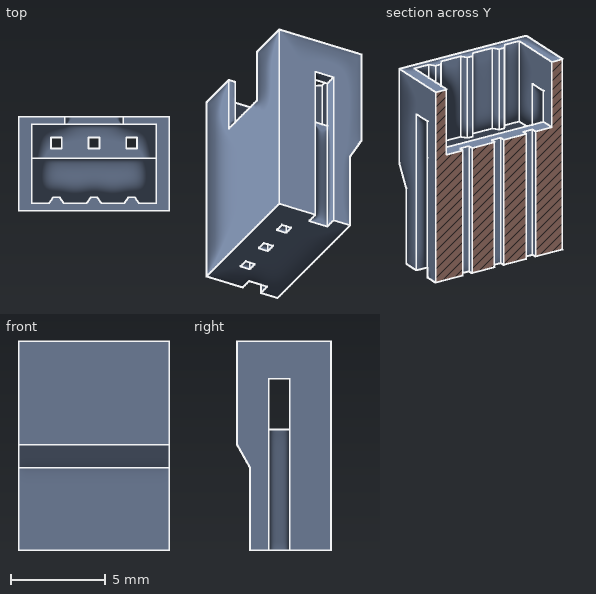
import cadquery as cq

width = 8.0
depth = 5.0
height = 11.1
front_y = -depth / 2
back_y = depth / 2

overhang = 0.69
slope_bottom_z = 4.38
slope_top_z = 5.6

side_wall = 0.7
end_wall = 0.4
cavity_width = width - 2 * side_wall
rear_floor_z = 7.3
front_floor_z = 6.42

slot_width = 1.1
slot_back_y = back_y - 2.2
slot_front_y = slot_back_y - slot_width
slot_top_z = 9.1

notch_width = 3.1
notch_floor_z = 7.99

contact_pitch = 2.0
contact_xs = [-contact_pitch, 0, contact_pitch]
hole_side = 0.57
hole_y = back_y - 1.4
rib_base = 0.78
rib_tip = 0.33
rib_height = 0.32


def block(x_min, x_max, y_min, y_max, z_min, z_max):
    """Box given by its limits along each axis."""
    return cq.Workplane("XY").box(
        x_max - x_min, y_max - y_min, z_max - z_min, centered=False
    ).translate((x_min, y_min, z_min))


def housing():
    """Side profile with the sloped front step, extruded across the width."""
    profile = [
        (back_y, 0),
        (back_y, height),
        (front_y, height),
        (front_y, slope_top_z),
        (front_y + overhang, slope_bottom_z),
        (front_y + overhang, 0),
    ]
    return cq.Workplane("YZ").polyline(profile).close().extrude(width / 2, both=True)


def cavity():
    """Open pocket whose front part is deeper; the step lines up with the slots."""
    half = cavity_width / 2
    rear = block(-half, half, slot_back_y, back_y - end_wall, rear_floor_z, height)
    front = block(-half, half, front_y + end_wall, slot_back_y, front_floor_z, height)
    return rear.union(front)


def side_slot(x_min):
    """Slot as deep as a side wall, so it opens into the cavity above the floor."""
    return block(x_min, x_min + side_wall, slot_front_y, slot_back_y, 0, slot_top_z)


def back_notch():
    half = notch_width / 2
    return block(-half, half, back_y - end_wall, back_y, notch_floor_z, height)


def contact_hole(x):
    half = hole_side / 2
    return block(x - half, x + half, hole_y - half, hole_y + half, 0, rear_floor_z)


def keying_rib(x):
    """Trapezoidal rib on the front cavity wall, from the floor up to the rim."""
    base_y = front_y + end_wall
    tip_y = base_y + rib_height
    outline = [
        (x - rib_base / 2, base_y),
        (x + rib_base / 2, base_y),
        (x + rib_tip / 2, tip_y),
        (x - rib_tip / 2, tip_y),
    ]
    rib = cq.Workplane("XY").workplane(offset=front_floor_z).polyline(outline).close()
    return rib.extrude(height - front_floor_z)


result = housing().cut(cavity()).cut(back_notch())
for slot_x in (-width / 2, width / 2 - side_wall):
    result = result.cut(side_slot(slot_x))
for contact_x in contact_xs:
    result = result.cut(contact_hole(contact_x)).union(keying_rib(contact_x))